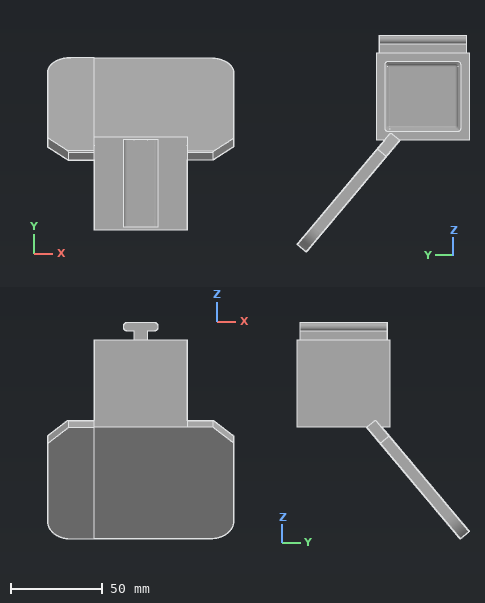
import cadquery as cq

box_side = 50.8
box_height = 47.625

pocket_width = 41.275
pocket_height = 38.1
pocket_depth = 22.225
pocket_draft = 3.8
pocket_fillet = 1.5875

rail_length = 47.625
rail_stem_width = 7.62
rail_head_width = 19.05
rail_head_height = 4.7625
rail_height = 2 * rail_head_height
rail_edge_radius = 2.2

plate_width = 101.6
plate_length = 79.375
plate_thickness = 6.05
plate_slope = 50.0
plate_front_y = 12.7
plate_corner_cut = 11.43
plate_corner_radius = 12.7

skin_thickness = 0.3

bevel_drop = 0.9
bevel_run = 0.45


def make_box():
    return cq.Workplane("XY").box(box_side, box_side, box_height, centered=(True, True, False))


def make_pocket():
    """Block that narrows inward from the -X face, with rounded edges except at its mouth."""
    mouth = cq.Workplane("YZ", origin=(-box_side / 2, 0, box_height / 2))
    block = mouth.rect(pocket_width, pocket_height).extrude(pocket_depth, taper=pocket_draft)
    return block.edges("not <X").fillet(pocket_fillet)


def make_rail():
    bottom = cq.Workplane("XY", origin=(0, 0, box_height))
    stem = bottom.box(rail_stem_width, rail_length, rail_height, centered=(True, True, False))
    head = (
        bottom.workplane(offset=rail_height - rail_head_height)
        .box(rail_head_width, rail_length, rail_head_height, centered=(True, True, False))
        .edges("|Y")
        .fillet(rail_edge_radius)
    )
    return stem.union(head)


def make_plate():
    """Plate built flat (Y down the slope, Z out of the upper face), then tilted into place."""
    full_thickness = plate_thickness + 2 * skin_thickness
    upper_face = plate_thickness + skin_thickness
    plate = (
        cq.Workplane("XY", origin=(0, plate_length / 2, -skin_thickness))
        .box(plate_width, plate_length, full_thickness, centered=(True, True, False))
    )
    plate = plate.edges("|Z and <Y").chamfer(plate_corner_cut)
    plate = plate.edges("|Z and >Y").fillet(plate_corner_radius)

    thin_width = (plate_width + box_side) / 2
    thin_center_x = plate_width / 2 - thin_width / 2
    for skin_bottom in (-skin_thickness, plate_thickness):
        skin = (
            cq.Workplane("XY", origin=(thin_center_x, plate_length / 2, skin_bottom))
            .box(thin_width, plate_length, skin_thickness, centered=(True, True, False))
        )
        plate = plate.cut(skin)

    bevel = (
        cq.Workplane("YZ")
        .moveTo(0, upper_face - bevel_drop)
        .lineTo(bevel_run, upper_face)
        .lineTo(0, upper_face)
        .close()
        .extrude(plate_width / 2, both=True)
    )
    plate = plate.cut(bevel)
    return plate.rotate((0, 0, 0), (1, 0, 0), -plate_slope).translate((0, plate_front_y, 0))


result = make_box().union(make_rail()).union(make_plate()).cut(make_pocket())